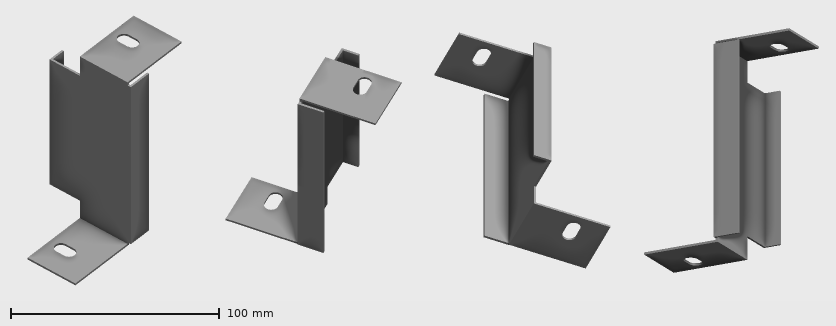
import cadquery as cq


thickness = 1.16
width = 51.0
height = 102.0

step_width = 19.0
step_height = 12.0
left_lip_depth = 9.25

relief = 2.0
right_lip_depth = 13.5

flange_length = 40.0
flange_width = width - step_width - relief

slot_length = 12.0
slot_width = 7.0
slot_from_flange_side = 10.0
slot_from_flange_tip = 16.0
slot_x = step_width + slot_from_flange_side


def box(x_size, y_size, z_size, x, y, z):
    """Return a block whose lowest corner is at (x, y, z)."""
    return cq.Workplane("XY").box(x_size, y_size, z_size, centered=False).translate((x, y, z))


def make_web():
    """Return the upright plate: a full-height strip with a shorter strip on each side."""
    tall_strip = box(flange_width, thickness, height, step_width, 0, 0)
    left_strip = box(step_width, thickness, height - 2 * step_height, 0, 0, step_height)
    right_strip = box(relief, thickness, height - 2 * relief, width - relief, 0, relief)
    return tall_strip.union(left_strip).union(right_strip)


def make_lip(x, depth, end_gap):
    """Return a backward lip that stops end_gap short of both ends of the web."""
    return box(thickness, depth, height - 2 * end_gap, x, 0, end_gap)


def make_flange(y_start, z_start, slot_y):
    """Return a horizontal mounting flange with one slot through it."""
    plate = box(flange_width, flange_length, thickness, step_width, y_start, z_start)
    slot = (
        cq.Workplane("XY", origin=(slot_x, slot_y, z_start))
        .slot2D(slot_length, slot_width)
        .extrude(thickness)
    )
    return plate.cut(slot)


top_tip_y = flange_length
bottom_tip_y = thickness - flange_length
top_flange = make_flange(0, height - thickness, top_tip_y - slot_from_flange_tip)
bottom_flange = make_flange(bottom_tip_y, 0, bottom_tip_y + slot_from_flange_tip)

left_lip = make_lip(0, left_lip_depth, step_height)
right_lip = make_lip(width - thickness, right_lip_depth, relief)

result = make_web()
for bent_part in (left_lip, right_lip, top_flange, bottom_flange):
    result = result.union(bent_part)
result = result.clean()